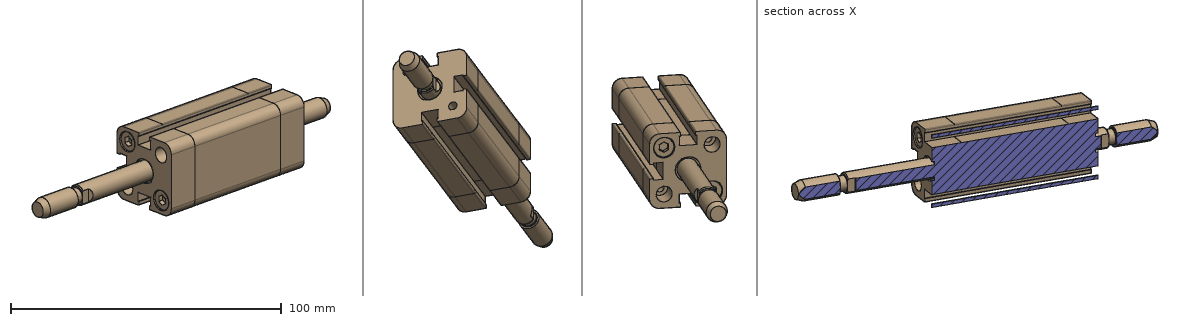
import cadquery as cq
import math


BARREL_SIZE = 29.0
CAP_SIZE = 29.05
BODY_LENGTH = 68.0
BODY_FRONT = -BODY_LENGTH / 2
BODY_BACK = BODY_LENGTH / 2
CORNER_RADIUS = 3.75
END_CAP_LENGTH = 12.1

SLOT_MOUTH_WIDTH = 5.7
SLOT_MOUTH_RADIUS = 0.3
SLOT_WIDTH = 6.6
SLOT_LIP = 1.5
SLOT_DEPTH = 5.1
SLOT_ANGLES = (0, 180, 270)

HOLE_OFFSET = 9.05
MOUNT_HOLE_DIAMETER = 3.24
MOUNT_BORE_DIAMETER = 6.0
MOUNT_BORE_DEPTH = 8.0
SCREW_BORE_DIAMETER = 8.0
SCREW_HEAD_DIAMETER = 7.5
SCREW_BORE_DEPTH = 4.5
SCREW_HEAD_RECESS = 0.5
HEX_ACROSS_FLATS = 3.5
HEX_DEPTH = 2.0

ROD_DIAMETER = 8.0
ROD_BORE_DIAMETER = 9.6
ROD_BORE_DEPTH = 1.0
FRONT_ROD_LENGTH = 34.5
BACK_ROD_LENGTH = 4.5
SHOULDER_CHAMFER = 0.42
NECK_DIAMETER = 6.0
NECK_LENGTH = 3.0
NECK_FLARE = 0.3
TIP_LENGTH = 17.0
TIP_END_DIAMETER = 6.0
TIP_TAPER_LENGTH = 2.75
WRENCH_WIDTH = 6.0
WRENCH_FLAT_LENGTH = 3.2
WRENCH_RUNOUT = 1.4


def cylinder_along_y(diameter, start, length, x=0.0, z=0.0):
    """Cylinder starting at y = start and running toward +Y."""
    axis_start = cq.Vector(x, start, z)
    return cq.Workplane(cq.Solid.makeCylinder(diameter / 2, length, axis_start, cq.Vector(0, 1, 0)))


def box_along_y(width, height, start, length):
    """Box centred on the rod axis, running from y = start toward +Y."""
    return cq.Workplane("XY").box(width, length, height).translate((0, start + length / 2, 0))


def make_slot(size, start, length, angle):
    """Cutter for one undercut slot in the top face of a block, turned about the rod axis by angle."""
    face = size / 2
    lip_bottom = face - SLOT_LIP
    floor = face - SLOT_DEPTH
    mouth_x = SLOT_MOUTH_WIDTH / 2
    channel_x = SLOT_WIDTH / 2
    rounding_x = mouth_x + SLOT_MOUTH_RADIUS
    rounding_z = face - SLOT_MOUTH_RADIUS
    arc_reach = SLOT_MOUTH_RADIUS * math.sqrt(0.5)
    arc_x = rounding_x - arc_reach
    arc_z = rounding_z + arc_reach
    profile = (
        cq.Workplane("XZ", origin=(0, start, 0))
        .moveTo(rounding_x, face)
        .threePointArc((arc_x, arc_z), (mouth_x, rounding_z))
        .lineTo(mouth_x, lip_bottom)
        .lineTo(channel_x, lip_bottom)
        .lineTo(channel_x, floor)
        .lineTo(-channel_x, floor)
        .lineTo(-channel_x, lip_bottom)
        .lineTo(-mouth_x, lip_bottom)
        .lineTo(-mouth_x, rounding_z)
        .threePointArc((-arc_x, arc_z), (-rounding_x, face))
        .close()
    )
    return profile.extrude(-length).rotate((0, 0, 0), (0, 1, 0), angle)


def make_slotted_block(size, start, length):
    """Rounded square block with slots in the top, bottom and -X faces."""
    block = box_along_y(size, size, start, length).edges("|Y").fillet(CORNER_RADIUS)
    for angle in SLOT_ANGLES:
        block = block.cut(make_slot(size, start, length, angle))
    return block


def make_body():
    """Barrel between two end caps that are a hair larger, so the joints show as fine steps."""
    barrel_start = BODY_FRONT + END_CAP_LENGTH
    barrel_length = BODY_LENGTH - 2 * END_CAP_LENGTH
    body = make_slotted_block(BARREL_SIZE, barrel_start, barrel_length)
    for cap_start in (BODY_FRONT, BODY_BACK - END_CAP_LENGTH):
        body = body.union(make_slotted_block(CAP_SIZE, cap_start, END_CAP_LENGTH))
    return body


def make_mount_hole(x, z):
    """Through hole with a wider bore at the front end."""
    hole = cylinder_along_y(MOUNT_HOLE_DIAMETER, BODY_FRONT, BODY_LENGTH, x, z)
    return hole.union(cylinder_along_y(MOUNT_BORE_DIAMETER, BODY_FRONT, MOUNT_BORE_DEPTH, x, z))


def make_screw_recess(x, z):
    """Cutter that leaves a socket-head screw standing in its counterbore."""
    head_front = BODY_FRONT + SCREW_HEAD_RECESS
    head_length = SCREW_BORE_DEPTH - SCREW_HEAD_RECESS
    bore = cylinder_along_y(SCREW_BORE_DIAMETER, BODY_FRONT, SCREW_BORE_DEPTH, x, z)
    head = cylinder_along_y(SCREW_HEAD_DIAMETER, head_front, head_length, x, z)
    hex_across_corners = HEX_ACROSS_FLATS / math.cos(math.pi / 6)
    hex_socket = (
        cq.Workplane("XZ", origin=(x, head_front, z))
        .transformed(rotate=(0, 0, 90))
        .polygon(6, hex_across_corners)
        .extrude(-HEX_DEPTH)
    )
    return bore.cut(head).union(hex_socket)


def make_wrench_cutter(shoulder):
    """Two side pockets that leave flats at a shoulder facing +Y, with sloped run-outs."""
    flat_x = WRENCH_WIDTH / 2
    rod_x = ROD_DIAMETER / 2
    flat_start = shoulder - WRENCH_FLAT_LENGTH
    side = (
        cq.Workplane("XY")
        .polyline([
            (flat_x, shoulder),
            (flat_x, flat_start),
            (rod_x, flat_start - WRENCH_RUNOUT),
            (rod_x, shoulder),
        ])
        .close()
        .extrude(rod_x, both=True)
    )
    return side.union(side.mirror("YZ"))


def make_rod_end(exposed_length):
    """Rod half running toward +Y from the body centre, with shoulder, neck and threaded tip."""
    shoulder = BODY_BACK + exposed_length
    tip_start = shoulder + NECK_LENGTH
    rod = cylinder_along_y(ROD_DIAMETER, 0, shoulder).faces(">Y").chamfer(SHOULDER_CHAMFER)
    rod = rod.cut(make_wrench_cutter(shoulder))
    neck = cylinder_along_y(NECK_DIAMETER, shoulder, NECK_LENGTH)
    flare = cq.Workplane(cq.Solid.makeCone(
        NECK_DIAMETER / 2,
        NECK_DIAMETER / 2 + NECK_FLARE,
        NECK_FLARE,
        cq.Vector(0, tip_start - NECK_FLARE, 0),
        cq.Vector(0, 1, 0),
    ))
    tip_taper = (ROD_DIAMETER - TIP_END_DIAMETER) / 2
    tip = cylinder_along_y(ROD_DIAMETER, tip_start, TIP_LENGTH)
    tip = tip.faces(">Y").edges().chamfer(TIP_TAPER_LENGTH, tip_taper)
    return rod.union(neck).union(flare).union(tip)


result = make_body()
for side in (1, -1):
    result = result.cut(make_mount_hole(side * HOLE_OFFSET, side * HOLE_OFFSET))
    result = result.cut(make_screw_recess(side * HOLE_OFFSET, -side * HOLE_OFFSET))
for bore_start in (BODY_FRONT, BODY_BACK - ROD_BORE_DEPTH):
    result = result.cut(cylinder_along_y(ROD_BORE_DIAMETER, bore_start, ROD_BORE_DEPTH))

result = result.union(make_rod_end(BACK_ROD_LENGTH))
result = result.union(make_rod_end(FRONT_ROD_LENGTH).mirror("XZ"))